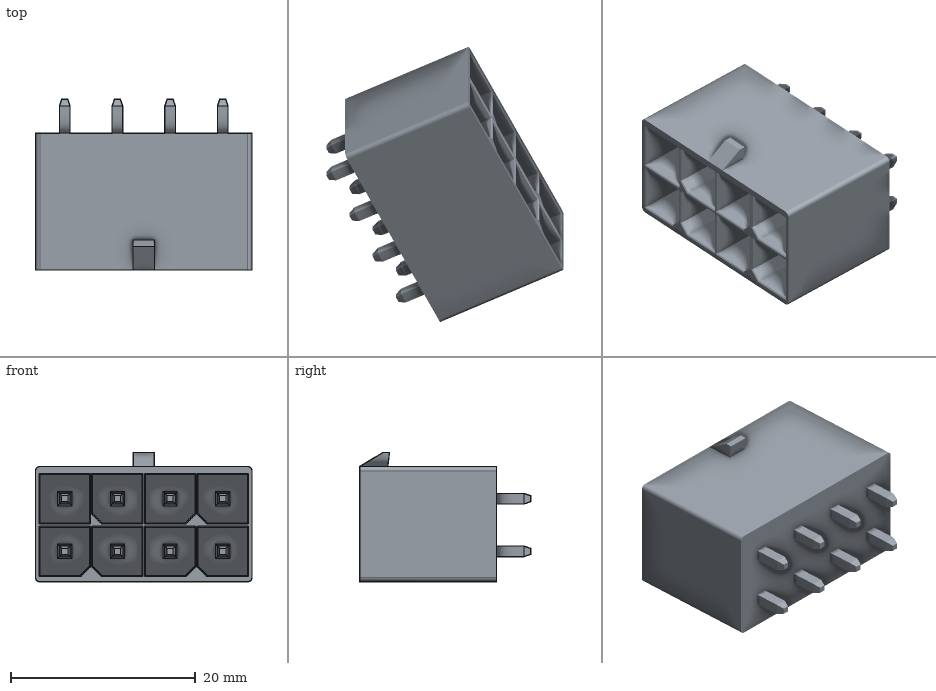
import cadquery as cq

BODY_WIDTH = 23.45
BODY_DEPTH = 14.82
BODY_HEIGHT = 12.5
BODY_EDGE_RADIUS = 0.5

COLUMNS = 4
ROWS = 2
PITCH = 5.7
LOWER_ROW_HEIGHT = 3.3
FIRST_COLUMN_X = -PITCH * (COLUMNS - 1) / 2

CAVITY_WIDTH = 5.35
CAVITY_HEIGHT = 5.2
CAVITY_DEPTH = 10.08
MOUTH_CHAMFER = 0.12
KEY_CHAMFER = 1.0
KEY_CORNERS = [
    ["right", "left", "right", "left"],
    ["none", "left", "right", "left"],
]

PIN_SIZE = 1.17
PIN_FRONT_Y = 4.7
PIN_REAR_LENGTH = 3.68
TIP_SIZE = 0.65
TIP_LENGTH = 0.75

PIN_HOLE_CHAMFER = 0.19

LATCH_WIDTH = 2.3
LATCH_RISE = 1.52
LATCH_CREST_FRONT = 2.53
LATCH_CREST_REAR = 3.24
LATCH_BASE_REAR = 3.05

PIN_REAR_Y = BODY_DEPTH + PIN_REAR_LENGTH


def contact_position(column, row):
    """Centre of one contact position, as X and Z."""
    return FIRST_COLUMN_X + column * PITCH, LOWER_ROW_HEIGHT + row * PITCH


def facing_rear(x, y, z):
    """Work plane at a point, with local X along X, local Y along Z and extrusions toward +Y."""
    return cq.Workplane(cq.Plane(origin=(x, y, z), xDir=(-1, 0, 0), normal=(0, 1, 0)))


def tapered_square(x, z, start_y, start_size, end_y, end_size):
    """Square frustum along Y."""
    return (
        facing_rear(x, start_y, z)
        .rect(start_size, start_size)
        .workplane(offset=end_y - start_y)
        .rect(end_size, end_size)
        .loft(ruled=True)
    )


def make_shell():
    block = cq.Workplane("XY").box(BODY_WIDTH, BODY_DEPTH, BODY_HEIGHT, centered=(True, False, False))
    return block.edges("|Y").fillet(BODY_EDGE_RADIUS)


def make_latch():
    """Ramped catch on top of the housing, with an undercut rear face."""
    crest_z = BODY_HEIGHT + LATCH_RISE
    profile = [
        (0, BODY_HEIGHT),
        (LATCH_CREST_FRONT, crest_z),
        (LATCH_CREST_REAR, crest_z),
        (LATCH_BASE_REAR, BODY_HEIGHT),
    ]
    return cq.Workplane("YZ").polyline(profile).close().extrude(LATCH_WIDTH / 2, both=True)


def cavity_outline(key_corner):
    """Corners of a cavity in local coordinates, where local X runs along -X."""
    half_width = CAVITY_WIDTH / 2
    half_height = CAVITY_HEIGHT / 2
    upper = [(-half_width, half_height), (half_width, half_height)]
    square_lower = [(half_width, -half_height), (-half_width, -half_height)]
    keyed_lower = [
        (half_width, -half_height),
        (KEY_CHAMFER - half_width, -half_height),
        (-half_width, KEY_CHAMFER - half_height),
    ]
    if key_corner == "none":
        return upper + square_lower
    keyed_right = upper + keyed_lower
    if key_corner == "right":
        return keyed_right
    return [(-u, v) for u, v in keyed_right]


def make_cavity(x, z, key_corner):
    """Straight contact cavity with a 45 degree lead-in around its mouth."""
    outline = cavity_outline(key_corner)
    pocket = facing_rear(x, 0, z).polyline(outline).close().extrude(CAVITY_DEPTH)
    inner_end = facing_rear(x, MOUTH_CHAMFER, z).polyline(outline).close()
    lead_in = inner_end.extrude(-MOUTH_CHAMFER, taper=-45)
    return pocket.union(lead_in)


def make_pin(x, z):
    """Square pin with a tapered tip at each end."""
    shank_front_y = PIN_FRONT_Y + TIP_LENGTH
    shank_rear_y = PIN_REAR_Y - TIP_LENGTH
    shank = facing_rear(x, shank_front_y, z).rect(PIN_SIZE, PIN_SIZE).extrude(shank_rear_y - shank_front_y)
    front_tip = tapered_square(x, z, PIN_FRONT_Y, TIP_SIZE, shank_front_y, PIN_SIZE)
    rear_tip = tapered_square(x, z, shank_rear_y, PIN_SIZE, PIN_REAR_Y, TIP_SIZE)
    return shank.union(front_tip).union(rear_tip)


def make_pin_hole(x, z):
    """Snug through hole for the pin, with a 45 degree chamfer where it meets the cavity floor."""
    bore = facing_rear(x, CAVITY_DEPTH, z).rect(PIN_SIZE, PIN_SIZE).extrude(BODY_DEPTH - CAVITY_DEPTH)
    chamfer_end_y = CAVITY_DEPTH + PIN_HOLE_CHAMFER
    chamfer_size = PIN_SIZE + 2 * PIN_HOLE_CHAMFER
    chamfer = tapered_square(x, z, CAVITY_DEPTH, chamfer_size, chamfer_end_y, PIN_SIZE)
    return bore.union(chamfer)


housing = make_shell().union(make_latch())
pins = []
for row in range(ROWS):
    for column in range(COLUMNS):
        x, z = contact_position(column, row)
        housing = housing.cut(make_cavity(x, z, KEY_CORNERS[row][column]))
        housing = housing.cut(make_pin_hole(x, z))
        pins.append(make_pin(x, z))

result = cq.Compound.makeCompound([housing.val(), *[pin.val() for pin in pins]])